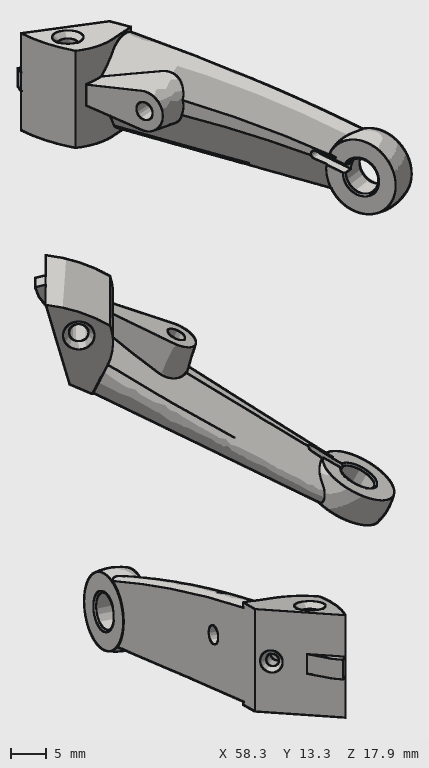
import cadquery as cq
import math

block_height = 14.9
block_tip = (1.15, 1.0)
block_back_left = (9.4, 10.95)
block_right = 12.95
block_back = 11.0
block_front_right = (10.65, 0.25)
block_front_arc = (6.7, 0.02)
block_side_arc = (12.25, 2.7)
block_side_arc_end = 5.85
pivot_center = (7.35, 3.45)
pivot_diameter = 2.7
pivot_sink_diameter = 4.4
sink_angle = 90

spring_hole_y = 9.15
spring_hole_diameter = 1.8
spring_sink_diameter = 3.2
spring_hole_depth = 3.5

tab_height = 2.85
tab_tip = (0.0, 2.0)
tab_shoulder = (1.05, 3.1)
tab_end = (4.65, 5.25)

lug_center = (21.35, 0.45)
lug_hole_diameter = 2.7
lug_front = 1.4
lug_length = 7.0
lug_radius = 3.05
lug_tip_half_width = 1.605
lug_left = 11.65
lug_taper = 9.0

ring_center = (52.4, 10.8, -4.55)
ring_radius = 5.9
ring_rim_radius = 5.6
ring_thickness = 4.45
ring_turn = 2.5
ring_hole_diameter = 5.25
ring_hole_chamfer = 0.3

groove_width = 1.35
groove_length = 8.15
groove_depth = 1.75
groove_angle = 13.0

arm_sections = [
    (11.65, 10.95, 6.4, 3.45, 6.8, 6.0, 2.4, -0.4, -5.85, -6.95),
    (30.9, 11.9, 8.75, 6.5, 4.3, 4.15, 0.65, -1.4, -7.25, -7.8),
    (51.3, 12.9, 10.3, 8.65, 0.25, -0.1, -3.15, -4.1, -8.0, -8.85),
]
side_bulge = 0.7


def make_block():
    outline = (
        cq.Workplane("XY", origin=(0, 0, -block_height / 2))
        .moveTo(*block_tip)
        .threePointArc(block_front_arc, block_front_right)
        .threePointArc(block_side_arc, (block_right, block_side_arc_end))
        .lineTo(block_right, block_back)
        .lineTo(*block_back_left)
        .close()
    )
    return outline.extrude(block_height)


def make_tab():
    """Beak on the slanted face, rooted inside the block at the pivot axis."""
    corners = [block_tip, tab_tip, tab_shoulder, tab_end, pivot_center]
    return cq.Workplane("XY").polyline(corners).close().extrude(tab_height / 2, both=True)


def bulged_point(start, end):
    """Point beside the middle of a section side, pushed away from the arm."""
    dy, dz = end[0] - start[0], end[1] - start[1]
    length = math.hypot(dy, dz)
    mid_y, mid_z = (start[0] + end[0]) / 2, (start[1] + end[1]) / 2
    return mid_y + side_bulge * dz / length, mid_z - side_bulge * dy / length


def arm_wire(section):
    x, y_back, y_shoulder, y_ridge, top, upper, ridge_top, ridge_low, lower, bottom = section
    back_top, back_bottom = (y_back, top), (y_back, bottom)
    shoulder_top, shoulder_low = (y_shoulder, upper), (y_shoulder, lower)
    return (
        cq.Workplane("YZ", origin=(x, 0, 0))
        .moveTo(*back_bottom)
        .lineTo(*back_top)
        .threePointArc(bulged_point(back_top, shoulder_top), shoulder_top)
        .lineTo(y_ridge, ridge_top)
        .lineTo(y_ridge, ridge_low)
        .lineTo(*shoulder_low)
        .threePointArc(bulged_point(shoulder_low, back_bottom), back_bottom)
        .close()
        .val()
    )


def make_arm():
    wires = [arm_wire(section) for section in arm_sections]
    return cq.Workplane(cq.Solid.makeLoft(wires))


def lug_wire(y, widening):
    """Round end joined by tangent sides to a narrow flat tip."""
    x, z = lug_center
    radius = lug_radius + widening
    tip_half_width = lug_tip_half_width + widening
    run = x - lug_left
    tip_direction = math.pi - math.atan2(tip_half_width, run)
    tangent = tip_direction - math.acos(radius / math.hypot(run, tip_half_width))
    tangent_x = x + radius * math.cos(tangent)
    tangent_z = radius * math.sin(tangent)
    return (
        cq.Workplane("XZ", origin=(0, y, 0))
        .moveTo(lug_left, z - tip_half_width)
        .lineTo(tangent_x, z - tangent_z)
        .threePointArc((x + radius, z), (tangent_x, z + tangent_z))
        .lineTo(lug_left, z + tip_half_width)
        .close()
        .val()
    )


def make_lug():
    widening = lug_length * math.tan(math.radians(lug_taper))
    wires = [lug_wire(lug_front, 0), lug_wire(lug_front + lug_length, widening)]
    return cq.Workplane(cq.Solid.makeLoft(wires, True))


def place_ring(shape):
    return shape.rotate((0, 0, 0), (0, 0, 1), ring_turn).translate(ring_center)


def make_ring():
    half = ring_thickness / 2
    profile = (
        cq.Workplane("XY")
        .moveTo(0, -half)
        .lineTo(ring_rim_radius, -half)
        .threePointArc((ring_radius, 0), (ring_rim_radius, half))
        .lineTo(0, half)
        .close()
    )
    return place_ring(profile.revolve(360, (0, 0, 0), (0, 1, 0)))


def make_ring_hole():
    half = ring_thickness / 2
    radius = ring_hole_diameter / 2
    mouth = radius + ring_hole_chamfer
    profile = [
        (0, -half), (mouth, -half), (radius, ring_hole_chamfer - half),
        (radius, half - ring_hole_chamfer), (mouth, half), (0, half),
    ]
    hole = cq.Workplane("XY").polyline(profile).close().revolve(360, (0, 0, 0), (0, 1, 0))
    return place_ring(hole)


def make_groove():
    """Round-ended groove running from the ring axis back along the ridge."""
    groove = (
        cq.Workplane("XZ", origin=(0, groove_depth - ring_thickness / 2, 0))
        .center(-groove_length / 2, 0)
        .slot2D(groove_length, groove_width)
        .extrude(ring_thickness)
        .rotate((0, 0, 0), (0, 1, 0), groove_angle)
    )
    return place_ring(groove)


def cut_pivot_hole(body):
    return (
        body.cut(
            cq.Workplane("XY", origin=(*pivot_center, block_height / 2))
            .circle(pivot_diameter / 2)
            .extrude(-block_height)
        )
        .cut(sink_cone((*pivot_center, block_height / 2), (0, 0, -1), pivot_sink_diameter))
        .cut(sink_cone((*pivot_center, -block_height / 2), (0, 0, 1), pivot_sink_diameter))
    )


def sink_cone(point, direction, diameter):
    radius = diameter / 2
    depth = radius / math.tan(math.radians(sink_angle / 2))
    return cq.Workplane(cq.Solid.makeCone(radius, 0, depth, cq.Vector(*point), cq.Vector(*direction)))


def cut_spring_hole(body):
    run = block_back_left[0] - block_tip[0]
    rise = block_back_left[1] - block_tip[1]
    point = (block_tip[0] + (spring_hole_y - block_tip[1]) * run / rise, spring_hole_y, 0)
    inward = (rise, -run, 0)
    drill = cq.Solid.makeCylinder(
        spring_hole_diameter / 2, spring_hole_depth, cq.Vector(*point), cq.Vector(*inward)
    )
    return body.cut(cq.Workplane(drill)).cut(sink_cone(point, inward, spring_sink_diameter))


def make_lug_hole():
    x, z = lug_center
    return (
        cq.Workplane("XZ", origin=(x, 0, z))
        .circle(lug_hole_diameter / 2)
        .extrude(-block_back * 2)
    )


arm = make_arm().union(make_lug())
body = make_block().union(make_tab()).union(arm).union(make_ring())
body = body.cut(make_groove()).cut(make_ring_hole()).cut(make_lug_hole())
body = cut_pivot_hole(body)
result = cut_spring_hole(body)